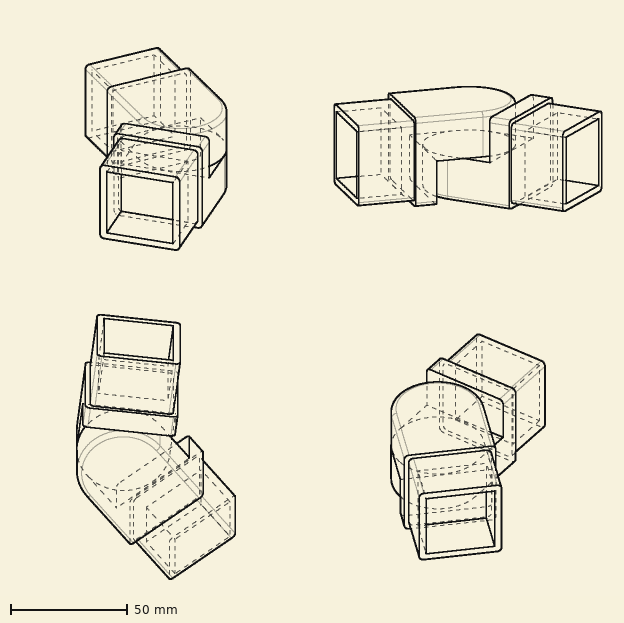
import cadquery as cq

body_size = 40.0
spigot_size = 36.0
socket_size = 30.0
socket_depth = 20.0
edge_radius = 2.0
limb_length = 55.0
spigot_length = 25.0
step_distance = 20.6
bend_angle = 45

body_radius = body_size / 2
shoulder_distance = limb_length - spigot_length


def make_body():
    """Square bar from the shoulder to a round nose centred on the pivot."""
    bar = (
        cq.Workplane("XY")
        .workplane(offset=-body_size / 2)
        .moveTo(-body_radius, -shoulder_distance)
        .lineTo(-body_radius, 0)
        .threePointArc((0, body_radius), (body_radius, 0))
        .lineTo(body_radius, -shoulder_distance)
        .close()
        .extrude(body_size)
    )
    return bar.faces("|Z").edges("not(<Y)").fillet(edge_radius)


def make_lap_clearance():
    """Upper half of the bar, removed to leave room for the other limb."""
    return cq.Workplane("XY").box(
        body_size, step_distance + body_radius, body_size / 2, centered=(True, False, False)
    ).translate((0, -step_distance, 0))


def make_spigot():
    """Round-edged square plug that fits inside a tube."""
    return (
        cq.Workplane("XZ", origin=(0, -shoulder_distance, 0))
        .rect(spigot_size, spigot_size)
        .extrude(spigot_length)
        .edges("|Y")
        .fillet(edge_radius)
    )


def make_socket():
    """Blind square pocket in the spigot end."""
    return (
        cq.Workplane("XZ", origin=(0, socket_depth - limb_length, 0))
        .rect(socket_size, socket_size)
        .extrude(socket_depth)
    )


def make_limb():
    """Limb pointing along -Y, with its lap tongue below Z = 0."""
    return make_body().cut(make_lap_clearance()).union(make_spigot()).cut(make_socket())


lower_limb = make_limb()

upper_limb = (
    make_limb()
    .rotate((0, 0, 0), (0, 1, 0), 180)
    .rotate((0, 0, 0), (0, 0, 1), 180 + bend_angle)
)

result = cq.Compound.makeCompound([lower_limb.val(), upper_limb.val()])